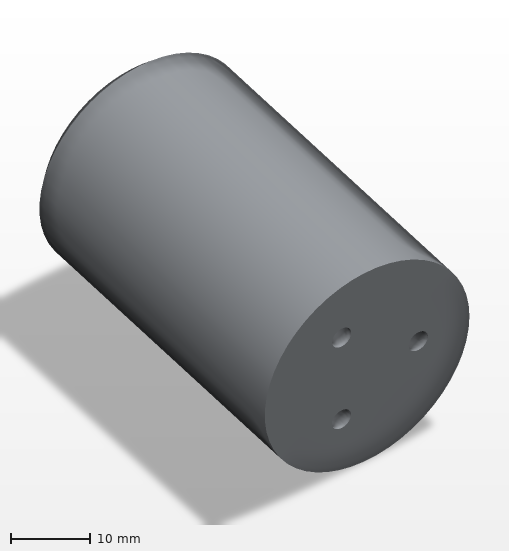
import cadquery as cq
import math

length = 50.0
diameter = 32.0
chamfer = 1.6
hole_diameter = 3.0
hole_circle_radius = 8.0
hole_count = 3
first_hole_angle = 16.5
helix_angle = 30.0

front_x = -length / 2
helix_pitch = math.pi * diameter / math.tan(math.radians(helix_angle))
hole_twist = 360 * length / helix_pitch


def make_body():
    """Solid cylinder with a chamfer around its -X end."""
    body = cq.Workplane("YZ", origin=(front_x, 0, 0)).circle(diameter / 2).extrude(length)
    return body.faces("<X").edges().chamfer(chamfer)


def make_holes():
    """Evenly spaced helical through holes that twist together about the X axis."""
    return (
        cq.Workplane("YZ", origin=(front_x, 0, 0))
        .polarArray(hole_circle_radius, first_hole_angle, 360, hole_count)
        .circle(hole_diameter / 2)
        .twistExtrude(length, hole_twist)
    )


result = make_body().cut(make_holes())